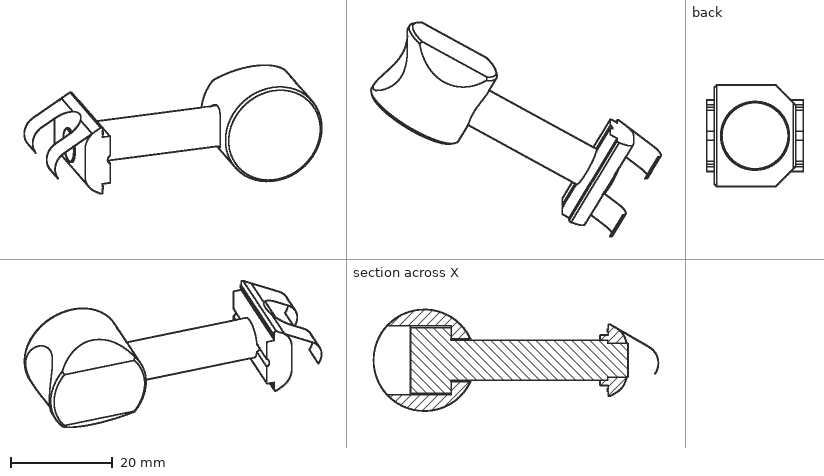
import cadquery as cq
import math


barrel_diameter = 20.0
barrel_length = 16.0
barrel_chamfer = 0.5
bevel_size = 4.0
head_bore_diameter = 13.5
shank_hole_diameter = 8.4

head_diameter = 13.0
head_height = 8.0
head_seat_y = -5.25
shank_diameter = 8.0
tip_diameter = 6.85
tip_projection = 0.3
tip_chamfer = 0.15

nut_width = 19.0
nut_back_y = -34.5
nut_front_y = -39.8
shoulder_y = -36.15
neck_half_height = 5.0
neck_round = 0.2
nut_half_height = 7.05
lip_flat = 0.4
lip_round = 0.2
front_half_height = 2.8
slope_angle = math.radians(30)
notch_half_height = 0.9
notch_depth = 0.55
rib_depth = 0.15
rib_height = 0.45
rib_z = 5.85

overall_length = 56.05
spring_end_y = barrel_diameter / 2 - overall_length
spring_thickness = 0.05
spring_bend_radius = 3.7
spring_tip_angle = math.radians(35)
spring_slot_width = 8.65

slope_y = shoulder_y - lip_flat
tangent_sine = math.sin(math.pi / 2 - slope_angle)
tangent_setback = 1 - math.cos(math.pi / 2 - slope_angle)


def slope_z(y):
    """Height of the sloped upper face at a given Y."""
    return nut_half_height - (slope_y - y) * math.tan(slope_angle)


nose_radius = (slope_z(nut_front_y) - front_half_height) / (
    tangent_sine - tangent_setback * math.tan(slope_angle)
)
nose_y = nut_front_y + nose_radius * tangent_setback
nose_z = slope_z(nose_y)


def circle_point(center_y, center_z, radius, angle):
    """Point on a circle in the YZ plane; zero angle faces -Y and positive angles go up."""
    return (center_y - radius * math.cos(angle), center_z + radius * math.sin(angle))


def y_cylinder(diameter, start_y, end_y):
    """Cylinder about the Y axis, from start_y towards -Y."""
    return cq.Workplane("XZ", origin=(0, start_y, 0)).circle(diameter / 2).extrude(start_y - end_y)


def section_plane(width):
    """YZ plane at the -X side of a shape centred on X = 0, for a full-width extrusion."""
    return cq.Workplane("YZ", origin=(-width / 2, 0, 0))


def make_barrel():
    radius = barrel_diameter / 2
    half_length = barrel_length / 2
    barrel = section_plane(barrel_length).circle(radius).extrude(barrel_length)
    barrel = barrel.edges("%CIRCLE").chamfer(barrel_chamfer)
    for side in (1, -1):
        bevel = (
            cq.Workplane("XZ")
            .moveTo(-half_length, side * (radius - bevel_size))
            .lineTo(-half_length + bevel_size, side * radius)
            .lineTo(-half_length, side * radius)
            .close()
            .extrude(radius, both=True)
        )
        barrel = barrel.cut(bevel)
    barrel = barrel.cut(y_cylinder(head_bore_diameter, radius, head_seat_y))
    return barrel.cut(y_cylinder(shank_hole_diameter, head_seat_y, -radius))


def make_screw():
    head = y_cylinder(head_diameter, head_seat_y + head_height, head_seat_y)
    shank = y_cylinder(shank_diameter, head_seat_y, shoulder_y)
    tip = y_cylinder(tip_diameter, shoulder_y, nut_front_y - tip_projection)
    tip = tip.faces("<Y").chamfer(tip_chamfer)
    return head.union(shank).union(tip)


def make_nut_block():
    nose_middle = circle_point(
        nut_front_y + nose_radius, front_half_height, nose_radius, (math.pi / 2 - slope_angle) / 2
    )
    block = (
        section_plane(nut_width)
        .moveTo(nut_back_y, neck_half_height)
        .lineTo(shoulder_y, neck_half_height)
        .lineTo(shoulder_y, nut_half_height)
        .lineTo(slope_y, nut_half_height)
        .lineTo(nose_y, nose_z)
        .threePointArc(nose_middle, (nut_front_y, front_half_height))
        .lineTo(nut_front_y, -front_half_height)
        .threePointArc((nose_middle[0], -nose_middle[1]), (nose_y, -nose_z))
        .lineTo(slope_y, -nut_half_height)
        .lineTo(shoulder_y, -nut_half_height)
        .lineTo(shoulder_y, -neck_half_height)
        .lineTo(nut_back_y, -neck_half_height)
        .lineTo(nut_back_y, -notch_half_height)
        .threePointArc((nut_back_y - notch_depth, 0), (nut_back_y, notch_half_height))
        .close()
        .extrude(nut_width)
    )
    for side in (1, -1):
        corner = cq.selectors.NearestToPointSelector((0, nut_back_y, side * neck_half_height))
        block = block.edges(corner).fillet(neck_round)
        lip = cq.selectors.NearestToPointSelector((0, shoulder_y, side * nut_half_height))
        block = block.edges(lip).fillet(lip_round)
        rib = cq.Workplane("XY").box(nut_width, 2 * rib_depth, rib_height)
        block = block.union(rib.translate((0, shoulder_y, side * rib_z)))
    return block


def make_spring():
    """Thin sheet that carries on the upper slope, then hooks down; a round-ended slot splits it."""
    outer = spring_bend_radius
    inner = outer - spring_thickness
    start_angle = math.pi / 2 - slope_angle
    middle_angle = (start_angle - spring_tip_angle) / 2
    center_y = spring_end_y + outer
    bend_y = spring_end_y + outer * tangent_setback
    center_z = slope_z(bend_y) - outer * tangent_sine

    def bend_point(radius, angle):
        return circle_point(center_y, center_z, radius, angle)

    root_inner = (
        nose_y + spring_thickness * math.sin(slope_angle),
        nose_z - spring_thickness * math.cos(slope_angle),
    )
    sheet = (
        section_plane(nut_width)
        .moveTo(nose_y, nose_z)
        .lineTo(*bend_point(outer, start_angle))
        .threePointArc(bend_point(outer, middle_angle), bend_point(outer, -spring_tip_angle))
        .lineTo(*bend_point(inner, -spring_tip_angle))
        .threePointArc(bend_point(inner, middle_angle), bend_point(inner, start_angle))
        .lineTo(*root_inner)
        .close()
        .extrude(nut_width)
    )

    slope_plane = cq.Plane(
        origin=(0, nose_y, nose_z),
        xDir=(1, 0, 0),
        normal=(0, -math.sin(slope_angle), math.cos(slope_angle)),
    )
    slot_radius = spring_slot_width / 2
    slot_length = overall_length / 2
    slot = (
        cq.Workplane(slope_plane)
        .moveTo(-slot_radius, -slot_radius)
        .threePointArc((0, 0), (slot_radius, -slot_radius))
        .lineTo(slot_radius, -slot_length)
        .lineTo(-slot_radius, -slot_length)
        .close()
        .extrude(nut_half_height, both=True)
    )
    return sheet.cut(slot)


def make_nut():
    block = make_nut_block().union(make_spring())
    block = block.cut(y_cylinder(shank_diameter, nut_back_y, shoulder_y))
    return block.cut(y_cylinder(tip_diameter, shoulder_y, nut_front_y))


barrel = make_barrel()
screw = make_screw()
nut = make_nut()

result = cq.Compound.makeCompound([barrel.val(), screw.val(), nut.val()])